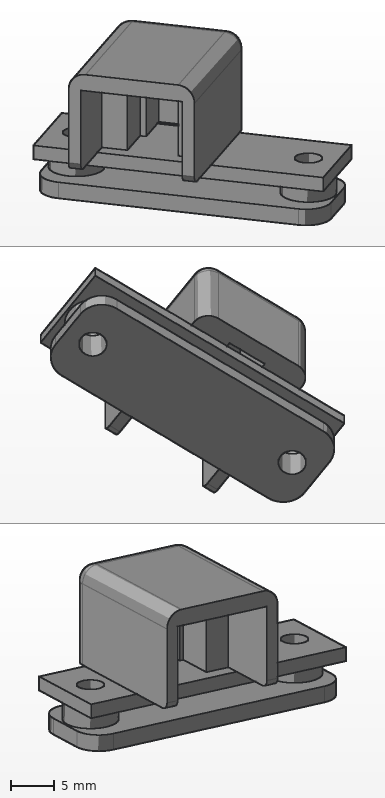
import cadquery as cq

plate_length = 35.0
plate_width = 11.05
hole_spacing = 28.0
hole_diameter = 3.2
hole_points = [(-hole_spacing / 2, 0), (hole_spacing / 2, 0)]

base_thickness = 2.0
base_corner_radius = 3.0
post_diameter = 6.5
post_height = 2.5

strap_thickness = 1.7
strap_bottom = base_thickness + post_height
strap_top = strap_bottom + strap_thickness

cover_width = 15.2
cover_depth = 20.0
cover_height = 12.0
cover_left = -11.25
cover_front = -11.97
cover_side_wall = 1.47
cover_roof = 2.0
cover_back_wall = 2.0
cover_edge_radius = 2.0
cover_foot_radius = 0.95

mouth_depth = 8.2
outer_slot_left = -6.7
outer_slot_right = -0.52
inner_slot_left = -5.95
inner_slot_right = -1.0
cavity_height = cover_height - cover_roof
slot_end = cover_depth - cover_back_wall
outer_slot_end = (mouth_depth + slot_end) / 2


def box_from(left, front, bottom, width, depth, height):
    """Box placed by its left, front, bottom corner."""
    return cq.Workplane("XY").box(width, depth, height, centered=False).translate((left, front, bottom))


def make_base():
    plate = (
        cq.Workplane("XY")
        .rect(plate_length, plate_width)
        .extrude(base_thickness)
        .edges("|Z")
        .fillet(base_corner_radius)
    )
    posts = (
        cq.Workplane("XY", origin=(0, 0, base_thickness))
        .pushPoints(hole_points)
        .circle(post_diameter / 2)
        .extrude(post_height)
    )
    holes = cq.Workplane("XY").pushPoints(hole_points).circle(hole_diameter / 2).extrude(strap_bottom)
    return plate.union(posts).cut(holes)


def make_strap():
    return (
        cq.Workplane("XY", origin=(0, 0, strap_bottom))
        .rect(plate_length, plate_width)
        .pushPoints(hole_points)
        .circle(hole_diameter / 2)
        .extrude(strap_thickness)
    )


def cavity_step(left, right, end):
    """Part of the cavity between two side faces, from the open front to a given depth."""
    return box_from(left, cover_front, strap_top, right - left, end, cavity_height)


def make_cover():
    block = box_from(cover_left, cover_front, strap_top, cover_width, cover_depth, cover_height)
    block = block.edges("(>Z and (not <Y)) or (|Z and >Y)").fillet(cover_edge_radius)
    block = block.edges("<Z and <Y").fillet(cover_foot_radius)

    mouth_left = cover_left + cover_side_wall
    mouth_right = cover_left + cover_width - cover_side_wall
    return (
        block.cut(cavity_step(mouth_left, mouth_right, mouth_depth))
        .cut(cavity_step(outer_slot_left, outer_slot_right, outer_slot_end))
        .cut(cavity_step(inner_slot_left, inner_slot_right, slot_end))
    )


base = make_base()
strap = make_strap()
cover = make_cover()

result = cq.Compound.makeCompound([base.val(), strap.val(), cover.val()])